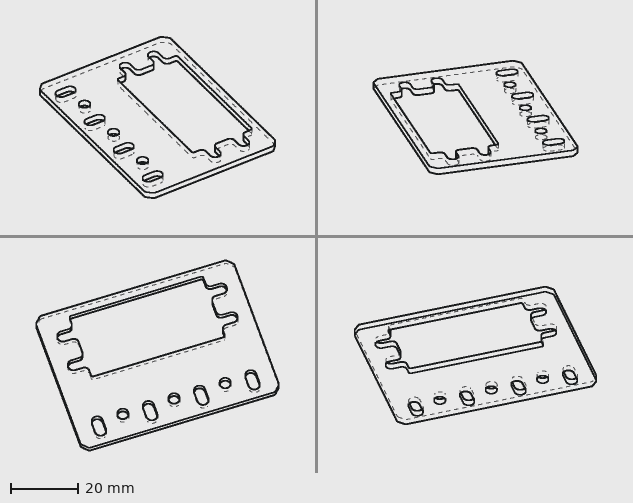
import cadquery as cq

length = 62.0
width = 45.9
thickness = 2.0
corner_chamfer = 2.0
chamfer_edge_radius = 1.0

window_length = 41.8
window_width = 21.0
window_top_margin = 2.85
window_corner_radius = 0.6
window_y = width / 2 - window_top_margin - window_width / 2
side_slot_width = 3.4
side_slot_span = 52.95
side_slot_spacing = 10.0
side_slot_mouth_radius = 1.5
side_slot_drop = 0.1
side_slot_y = window_y - side_slot_drop

hole_diameter = 3.4
hole_pitch = 8.0
hole_count = 7
row_edge_distance = 7.5
hole_y = -width / 2 + row_edge_distance
row_slot_length = 6.5
row_slot_y = hole_y - (row_slot_length - hole_diameter) / 2


def make_plate():
    """Plate with chamfered corners whose edges are softened."""
    plate = cq.Workplane("XY").rect(length, width).extrude(thickness)
    plate = plate.edges("|Z").chamfer(corner_chamfer)
    return plate.edges("|Z").fillet(chamfer_edge_radius)


def make_window():
    """Solid of the window opening, including its side slots."""
    window = (
        cq.Workplane("XY")
        .center(0, window_y)
        .rect(window_length, window_width)
        .extrude(thickness)
        .edges("|Z")
        .fillet(window_corner_radius)
    )
    slots = (
        cq.Workplane("XY")
        .center(0, side_slot_y)
        .rarray(0.6, side_slot_spacing, 1, 2)
        .slot2D(side_slot_span, side_slot_width)
        .extrude(thickness)
    )
    opening = window.union(slots)

    margin = 0.05
    mouth_reach = (side_slot_spacing + side_slot_width) / 2 + margin
    mouth_box = cq.selectors.BoxSelector(
        (-window_length / 2 - margin, side_slot_y - mouth_reach, -margin),
        (window_length / 2 + margin, side_slot_y + mouth_reach, thickness + margin),
    )
    return opening.edges("|Z").edges(mouth_box).fillet(side_slot_mouth_radius)


def make_hole_row():
    """Solid of the mounting row: slots at even places, round holes between."""
    cutters = cq.Workplane("XY")
    for index in range(hole_count):
        x = (index - (hole_count - 1) / 2) * hole_pitch
        if index % 2 == 0:
            cutter = cq.Workplane("XY").center(x, row_slot_y).slot2D(row_slot_length, hole_diameter, 90)
        else:
            cutter = cq.Workplane("XY").center(x, hole_y).circle(hole_diameter / 2)
        cutters = cutters.add(cutter.extrude(thickness))
    return cutters.combine()


result = make_plate().cut(make_window()).cut(make_hole_row())